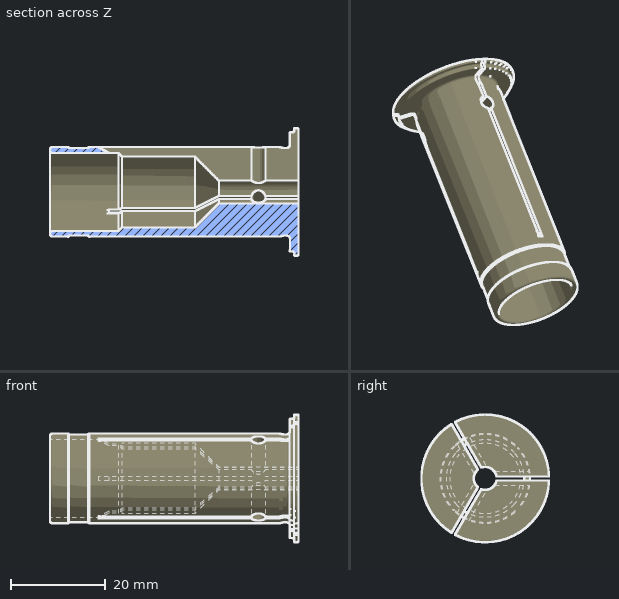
import cadquery as cq
import math

LENGTH = 52.5
BODY_RADIUS = 9.5

BAND_RADIUS = 9.3
BAND_START = 3.87
BAND_END = 8.03
BAND_START_TAPER = 0.18
BAND_END_TAPER = 0.3

NECK_RADIUS = BAND_RADIUS
NECK_TAPER_START = 48.43
NECK_TAPER_LENGTH = 0.8
NECK_FILLET = 0.6

FLANGE_RADIUS = 13.5
FLANGE_THICKNESS = 0.95
FLANGE_FRONT_ROUND = 0.2
FLANGE_BACK_ROUND = 0.4
STEP_RADIUS = 12.6
STEP_THICKNESS = 0.95
STEP_ROUND = 0.2
STEP_FILLET = 0.4

MOUTH_BORE_RADIUS = 8.2
MOUTH_BORE_DEPTH = 14.5
MIDDLE_BORE_RADIUS = 7.45
MIDDLE_BORE_DEPTH = 30.6
END_BORE_RADIUS = 2.4
RIM_INNER_ROUND = 0.5
RIM_OUTER_ROUND = 0.6

SLIT_COUNT = 3
SLIT_WIDTH = 0.8
SLIT_START = 10.25
SLIT_FLOOR_ANGLE = 30.0
RELIEF_HOLE_DIAMETER = 3.0
RELIEF_HOLE_X = 44.0
CUT_MARGIN = 1.0

FLANGE_FACE = LENGTH - FLANGE_THICKNESS
STEP_FACE = FLANGE_FACE - STEP_THICKNESS


def add_quarter_round(profile, start, end, centre):
    """Draw a straight line to start, then a quarter arc about centre to end."""
    mid_angle = math.atan2(start[1] + end[1] - 2 * centre[1], start[0] + end[0] - 2 * centre[0])
    radius = math.dist(start, centre)
    middle = (centre[0] + radius * math.cos(mid_angle), centre[1] + radius * math.sin(mid_angle))
    return profile.lineTo(*start).threePointArc(middle, end)


def round_to_side(profile, face_x, side_radius, size):
    """Round an edge or corner that turns from a front face up to a cylindrical side."""
    centre = (face_x + size, side_radius - size)
    return add_quarter_round(profile, (face_x, centre[1]), (centre[0], side_radius), centre)


def fillet_to_face(profile, side_radius, face_x, size):
    """Fillet the inside corner between a cylindrical side and the larger face behind it."""
    centre = (face_x - size, side_radius + size)
    return add_quarter_round(profile, (centre[0], side_radius), (face_x, centre[1]), centre)


def add_mouth_rim(profile):
    """Round the mouth over from the bore and out to the body surface."""
    centre = (RIM_INNER_ROUND, MOUTH_BORE_RADIUS + RIM_INNER_ROUND)
    profile = add_quarter_round(profile, (centre[0], MOUTH_BORE_RADIUS), (0, centre[1]), centre)
    return round_to_side(profile, 0, BODY_RADIUS, RIM_OUTER_ROUND)


def add_body_side(profile):
    """Run along the body through the relieved band and the neck to the flange step."""
    profile = (
        profile.lineTo(BAND_START, BODY_RADIUS)
        .lineTo(BAND_START + BAND_START_TAPER, BAND_RADIUS)
        .lineTo(BAND_END, BAND_RADIUS)
        .lineTo(BAND_END + BAND_END_TAPER, BODY_RADIUS)
        .lineTo(NECK_TAPER_START, BODY_RADIUS)
        .lineTo(NECK_TAPER_START + NECK_TAPER_LENGTH, NECK_RADIUS)
    )
    return fillet_to_face(profile, NECK_RADIUS, STEP_FACE, NECK_FILLET)


def add_flange(profile):
    """Go around the step and the flange rim to the flat back face."""
    profile = round_to_side(profile, STEP_FACE, STEP_RADIUS, STEP_ROUND)
    profile = fillet_to_face(profile, STEP_RADIUS, FLANGE_FACE, STEP_FILLET)
    profile = round_to_side(profile, FLANGE_FACE, FLANGE_RADIUS, FLANGE_FRONT_ROUND)
    centre = (LENGTH - FLANGE_BACK_ROUND, FLANGE_RADIUS - FLANGE_BACK_ROUND)
    return add_quarter_round(profile, (centre[0], FLANGE_RADIUS), (LENGTH, centre[1]), centre)


def add_bore(profile):
    """Return from the back face to the mouth along the stepped bore."""
    end_bore_start = MIDDLE_BORE_DEPTH + MIDDLE_BORE_RADIUS - END_BORE_RADIUS
    middle_bore_start = MOUTH_BORE_DEPTH + MOUTH_BORE_RADIUS - MIDDLE_BORE_RADIUS
    return (
        profile.lineTo(LENGTH, END_BORE_RADIUS)
        .lineTo(end_bore_start, END_BORE_RADIUS)
        .lineTo(MIDDLE_BORE_DEPTH, MIDDLE_BORE_RADIUS)
        .lineTo(middle_bore_start, MIDDLE_BORE_RADIUS)
        .lineTo(MOUTH_BORE_DEPTH, MOUTH_BORE_RADIUS)
    )


def make_sleeve():
    """Revolve the complete half section about the X axis."""
    profile = cq.Workplane("XY").moveTo(MOUTH_BORE_DEPTH, MOUTH_BORE_RADIUS)
    profile = add_mouth_rim(profile)
    profile = add_body_side(profile)
    profile = add_flange(profile)
    profile = add_bore(profile)
    return profile.close().revolve(360, (0, 0, 0), (1, 0, 0))


def make_slit_cutter():
    """Cutter for the slit and relief hole on the +Y side, reaching in to the axis."""
    cut_radius = FLANGE_RADIUS + CUT_MARGIN
    cut_end = LENGTH + CUT_MARGIN
    floor_run_per_depth = 1 / math.tan(math.radians(SLIT_FLOOR_ANGLE))
    outer_x = SLIT_START - (cut_radius - BODY_RADIUS) * floor_run_per_depth
    axis_x = SLIT_START + BODY_RADIUS * floor_run_per_depth
    slit = (
        cq.Workplane("XY")
        .polyline([(outer_x, cut_radius), (cut_end, cut_radius), (cut_end, 0), (axis_x, 0)])
        .close()
        .extrude(SLIT_WIDTH / 2, both=True)
    )
    hole = (
        cq.Workplane("XZ")
        .center(RELIEF_HOLE_X, 0)
        .circle(RELIEF_HOLE_DIAMETER / 2)
        .extrude(-(BODY_RADIUS + CUT_MARGIN))
    )
    return slit.union(hole)


result = make_sleeve()
slit_cutter = make_slit_cutter()
for index in range(SLIT_COUNT):
    turn = index * 360 / SLIT_COUNT
    result = result.cut(slit_cutter.rotate((0, 0, 0), (1, 0, 0), turn))